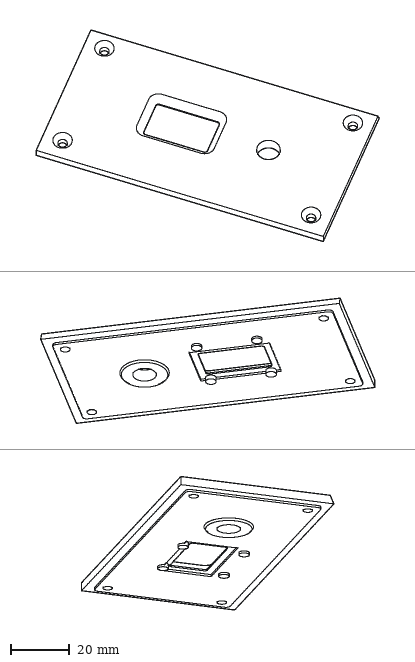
import cadquery as cq

plate_length = 104.0
plate_width = 55.0
plate_thickness = 3.0
bevel_run = 1.35

pad_height = 0.75
pad_margin = 3.2
pad_corner_radius = 1.5

foot_height = 0.75
total_height = plate_thickness + pad_height + foot_height

screw_spacing_x = 90.0
screw_spacing_y = 41.0
screw_hole_diameter = 3.2
countersink_diameter = 6.6
countersink_angle = 90.0

window_center_x = -9.5
window_length = 28.0
window_width = 18.5
window_corner_radius = 3.5
window_slope = 2.5

round_hole_x = 22.0
round_hole_diameter = 8.0
collar_top_diameter = 16.8
collar_bottom_diameter = 15.8

foot_diameter = 3.6
foot_spacing_x = 21.0
foot_spacing_y = 21.9
foot_pattern_center_y = 1.75


def make_plate():
    """Plate extruded along X from its beveled end profile."""
    front_y = -plate_width / 2
    back_y = plate_width / 2
    profile = [
        (front_y, 0),
        (back_y - bevel_run, 0),
        (back_y, -plate_thickness),
        (front_y, -plate_thickness),
    ]
    return cq.Workplane("YZ").polyline(profile).close().extrude(plate_length / 2, both=True)


def make_pad():
    """Rounded pad under the plate, recessed around the window so the plate alone forms its walls."""
    plate_underside = cq.Workplane("XY", origin=(0, 0, -plate_thickness))
    pad = (
        plate_underside.rect(plate_length - 2 * pad_margin, plate_width - 2 * pad_margin)
        .extrude(-pad_height)
        .edges("|Z")
        .fillet(pad_corner_radius)
    )
    recess = (
        plate_underside.center(window_center_x, 0)
        .rect(window_length, window_width)
        .extrude(-pad_height)
    )
    return pad.cut(recess)


def make_feet():
    """Feet that reach from the plate underside to below the pad."""
    return (
        cq.Workplane("XY", origin=(window_center_x, foot_pattern_center_y, -plate_thickness))
        .rect(foot_spacing_x, foot_spacing_y, forConstruction=True)
        .vertices()
        .circle(foot_diameter / 2)
        .extrude(-(pad_height + foot_height))
    )


def make_collar():
    """Downward-tapering ring of material around the round hole."""
    return (
        cq.Workplane("XY", origin=(round_hole_x, 0, -plate_thickness - pad_height))
        .circle(collar_top_diameter / 2)
        .workplane(offset=-foot_height)
        .circle(collar_bottom_diameter / 2)
        .loft(ruled=True)
    )


def window_outline(inset, z):
    """Rounded rectangle of the window, moved inward by inset and placed at height z."""
    outline = (
        cq.Sketch()
        .rect(window_length - 2 * inset, window_width - 2 * inset)
        .vertices()
        .fillet(window_corner_radius - inset)
    )
    return outline.moved(cq.Location(cq.Vector(0, 0, z)))


def make_window_cutter():
    top_outline = window_outline(0, 0)
    opening_outline = window_outline(window_slope, -window_slope)
    window_plane = cq.Workplane("XY", origin=(window_center_x, 0, 0))
    sloped_walls = window_plane.placeSketch(top_outline, opening_outline).loft(ruled=True)
    straight_walls = window_plane.placeSketch(opening_outline).extrude(window_slope - plate_thickness)
    return sloped_walls.union(straight_walls)


def make_round_hole_cutter():
    return (
        cq.Workplane("XY", origin=(round_hole_x, 0, 0))
        .circle(round_hole_diameter / 2)
        .extrude(-total_height)
    )


def cut_screw_holes(body):
    return (
        body.copyWorkplane(cq.Workplane("XY"))
        .rect(screw_spacing_x, screw_spacing_y, forConstruction=True)
        .vertices()
        .cskHole(screw_hole_diameter, countersink_diameter, countersink_angle)
    )


body = make_plate().union(make_pad()).union(make_feet()).union(make_collar())
body = body.cut(make_window_cutter()).cut(make_round_hole_cutter())
result = cut_screw_holes(body)